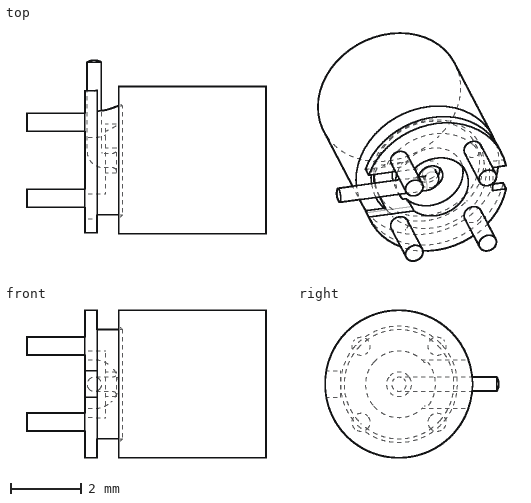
import cadquery as cq
import math

OVERALL_LENGTH = 6.8
FLANGE_FRONT = 1.645
FLANGE_THICKNESS = 0.355
BODY_FRONT = 2.605
RECESS_FLOOR = 2.23

BODY_RADIUS = 2.1
NECK_RADIUS = 1.56
BODY_RIM_CHAMFER = 0.1
RECESS_RADIUS = 0.95
PLUG_RADIUS = 1.035
WINDOW_RADIUS = 0.695
NOTCH_WIDTH = 0.76
NOTCH_FLOOR_Y = 1.665

PIN_RADIUS = 0.26
PIN_OFFSET = 1.08

WIRE_RADIUS = 0.205
WIRE_REACH = 2.85
WIRE_TIP_HEIGHT = 0.06
BEND_RADIUS = 0.26
SOCKET_RADIUS = 0.355
SOCKET_DEPTH = 0.31
SHOULDER_RADIUS = 0.32

flange_back = FLANGE_FRONT + FLANGE_THICKNESS
wire_x = BODY_FRONT - WINDOW_RADIUS
socket_floor = RECESS_FLOOR + SOCKET_DEPTH


def rod(radius, start, end, y=0, z=0):
    """Cylinder parallel to X between two stations."""
    return cq.Workplane("YZ", origin=(start, y, z)).circle(radius).extrude(end - start)


def make_housing():
    flange = rod(BODY_RADIUS, FLANGE_FRONT, flange_back)
    neck = rod(NECK_RADIUS, FLANGE_FRONT, BODY_FRONT + BODY_RIM_CHAMFER)
    body = rod(BODY_RADIUS, BODY_FRONT, OVERALL_LENGTH)
    bevel = (
        cq.Workplane("XY")
        .moveTo(BODY_FRONT, NECK_RADIUS)
        .lineTo(BODY_FRONT, NECK_RADIUS + BODY_RIM_CHAMFER)
        .lineTo(BODY_FRONT + BODY_RIM_CHAMFER, NECK_RADIUS)
        .close()
        .revolve(360, (0, 0, 0), (1, 0, 0))
    )
    return body.cut(bevel).union(neck).union(flange)


def make_wire_window():
    """Side opening for the wire: round at the back and open to the front."""
    round_end = cq.Workplane("XZ", origin=(wire_x, 0, 0)).circle(WINDOW_RADIUS).extrude(-BODY_RADIUS)
    slot_length = wire_x - FLANGE_FRONT
    open_end = cq.Workplane("XY").box(
        slot_length, BODY_RADIUS, 2 * WINDOW_RADIUS, centered=(False, False, True)
    ).translate((FLANGE_FRONT, 0, 0))
    plug = rod(PLUG_RADIUS, RECESS_FLOOR, OVERALL_LENGTH)
    return round_end.union(open_end).cut(plug)


def make_notch():
    return cq.Workplane("XY").box(
        FLANGE_THICKNESS, BODY_RADIUS, NOTCH_WIDTH, centered=(False, False, True)
    ).translate((FLANGE_FRONT, -NOTCH_FLOOR_Y - BODY_RADIUS, 0))


def make_wire():
    bend_end_x = wire_x + BEND_RADIUS
    dome_start = WIRE_REACH - WIRE_TIP_HEIGHT
    dome_radius = (WIRE_RADIUS**2 + WIRE_TIP_HEIGHT**2) / (2 * WIRE_TIP_HEIGHT)
    dome_centre = WIRE_REACH - dome_radius
    dome_mid_x = WIRE_RADIUS / 2
    dome_mid_y = dome_centre + math.sqrt(dome_radius**2 - dome_mid_x**2)
    straight = (
        cq.Workplane("XY", origin=(wire_x, 0, 0))
        .moveTo(0, BEND_RADIUS)
        .lineTo(WIRE_RADIUS, BEND_RADIUS)
        .lineTo(WIRE_RADIUS, dome_start)
        .threePointArc((dome_mid_x, dome_mid_y), (0, WIRE_REACH))
        .close()
        .revolve(360, (0, 0, 0), (0, 1, 0))
    )
    bend = (
        cq.Workplane("XZ", origin=(wire_x, BEND_RADIUS, 0))
        .circle(WIRE_RADIUS)
        .revolve(90, (BEND_RADIUS, 0, 0), (BEND_RADIUS, 1, 0))
    )
    stem = rod(WIRE_RADIUS, bend_end_x, socket_floor)
    flare_radius = SHOULDER_RADIUS - WIRE_RADIUS
    flare = rod(SHOULDER_RADIUS, socket_floor - flare_radius, socket_floor)
    hollow = cq.Solid.makeTorus(
        SHOULDER_RADIUS, flare_radius, cq.Vector(socket_floor - flare_radius, 0, 0), cq.Vector(1, 0, 0)
    )
    return straight.union(bend).union(stem).union(flare.cut(cq.Workplane(hollow)))


result = make_housing()
result = result.cut(rod(RECESS_RADIUS, FLANGE_FRONT, RECESS_FLOOR))
result = result.cut(make_wire_window()).cut(make_notch())
result = result.cut(rod(SOCKET_RADIUS, RECESS_FLOOR, socket_floor))
result = result.union(make_wire())
for pin_y in (-PIN_OFFSET, PIN_OFFSET):
    for pin_z in (-PIN_OFFSET, PIN_OFFSET):
        result = result.union(rod(PIN_RADIUS, 0, flange_back, pin_y, pin_z))